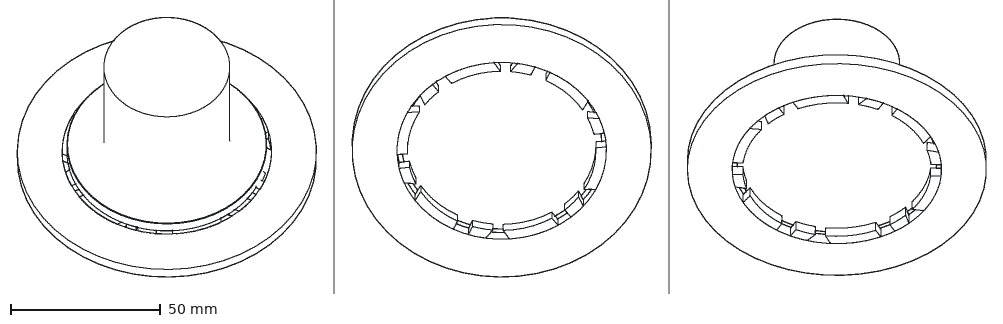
import cadquery as cq
import math

ring_diameter = 99.9
bore_diameter = 69.9
ring_thickness = 4.2

disc_diameter = 66.7
disc_top = 7.8
disc_edge_chamfer = 0.2
post_diameter = 42.0
total_height = 50.0
post_fillet = 0.8
teeth_inner_diameter = 62.9
teeth_top = 3.8

notch_pairs = 6
pitch_angle = 360 / notch_pairs
slot_width = 5.4
slot_angle = 1.0
flare_angle = 40.3
flare_mouth_width = 8.2
flare_side_angle = 34.0
notch_overrun = 1.0

tooth_fillet = 0.8

ring_radius = ring_diameter / 2
bore_radius = bore_diameter / 2
disc_radius = disc_diameter / 2
teeth_inner_radius = teeth_inner_diameter / 2
post_radius = post_diameter / 2


def make_ring():
    """Flat ring whose bore receives the crown of teeth."""
    return cq.Workplane("XY").circle(ring_radius).circle(bore_radius).extrude(ring_thickness)


def notch_cutter(mouth_width, side_angle, angle):
    """Wedge through the crown: mouth_width at the bore, each side leaning in by side_angle towards the axis."""
    mouth_half = mouth_width / 2
    side_slope = math.tan(math.radians(side_angle))
    inner_end = teeth_inner_radius - notch_overrun
    outer_end = bore_radius + notch_overrun
    inner_half = mouth_half - side_slope * (bore_radius - inner_end)
    outer_half = mouth_half + side_slope * (outer_end - bore_radius)
    outline = [
        (inner_end, -inner_half),
        (outer_end, -outer_half),
        (outer_end, outer_half),
        (inner_end, inner_half),
    ]
    wedge = cq.Workplane("XY").polyline(outline).close().extrude(disc_top)
    return wedge.rotate((0, 0, 0), (0, 0, 1), angle)


def make_teeth():
    """Crown of teeth: a band with straight slots and flared notches cut through it."""
    teeth = cq.Workplane("XY").circle(bore_radius).circle(teeth_inner_radius).extrude(teeth_top)
    for i in range(notch_pairs):
        turn = i * pitch_angle
        teeth = teeth.cut(notch_cutter(slot_width, 0, slot_angle + turn))
        teeth = teeth.cut(notch_cutter(flare_mouth_width, flare_side_angle, flare_angle + turn))
    return teeth


def make_tooth_fillet():
    """Concave fillet between the disc wall and the top of the wide tooth after the first slot."""
    inner_end = disc_radius - tooth_fillet
    outer_end = disc_radius + tooth_fillet
    upper_end = teeth_top + tooth_fillet
    arc_inset = tooth_fillet * (1 - math.sqrt(0.5))
    profile = (
        cq.Workplane("XZ")
        .moveTo(inner_end, teeth_top)
        .lineTo(outer_end, teeth_top)
        .threePointArc((disc_radius + arc_inset, teeth_top + arc_inset), (disc_radius, upper_end))
        .lineTo(inner_end, upper_end)
        .close()
    )
    band = profile.revolve(flare_angle - slot_angle, (0, 0, 0), (0, 1, 0))
    band = band.rotate((0, 0, 0), (0, 0, 1), slot_angle)
    band = band.cut(notch_cutter(slot_width, 0, slot_angle))
    return band.cut(notch_cutter(flare_mouth_width, flare_side_angle, flare_angle))


def make_plug():
    """Disc with a filleted post above and the crown of teeth below, as one solid."""
    disc = cq.Workplane("XY").workplane(offset=teeth_top).circle(disc_radius).extrude(disc_top - teeth_top)
    post = cq.Workplane("XY").workplane(offset=disc_top).circle(post_radius).extrude(total_height - disc_top)
    disc = disc.edges(">Z").chamfer(disc_edge_chamfer)
    post_root = cq.selectors.BoxSelector(
        (-disc_radius, -disc_radius, disc_top - disc_edge_chamfer / 2),
        (disc_radius, disc_radius, disc_top + disc_edge_chamfer / 2),
    )
    smallest_circle = cq.selectors.RadiusNthSelector(0)
    flanged_post = disc.union(post).edges(post_root).edges(smallest_circle).fillet(post_fillet)
    return flanged_post.union(make_teeth()).union(make_tooth_fillet())


ring = make_ring()
plug = make_plug()
result = cq.Compound.makeCompound([ring.val(), plug.val()])